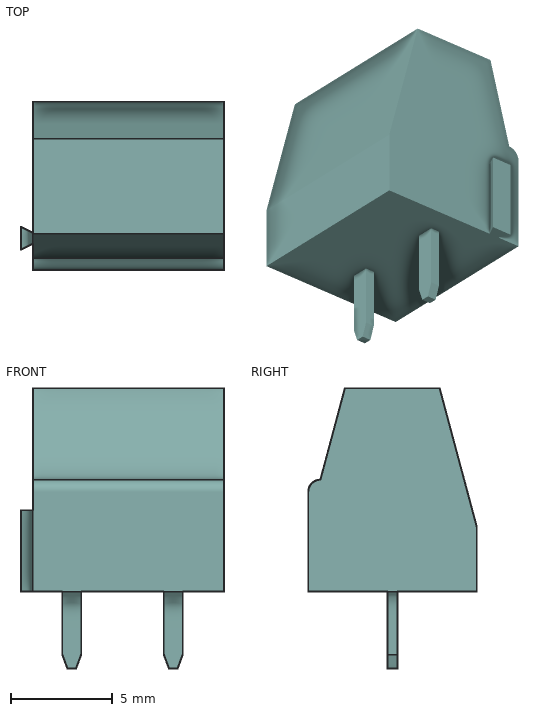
import cadquery as cq
import math

total_width = 10.0
housing_depth = 8.3
total_height = 13.8

key_projection = 0.6
housing_height = 10.0
housing_width = total_width - key_projection
housing_left = -total_width / 2 + key_projection
front_y = -housing_depth / 2
back_y = housing_depth / 2
wall_lean = math.radians(15)
back_wall_height = 3.2
shoulder_height = 5.5
shoulder_radius = 0.6

key_height = 4.0
key_outer_width = 1.13
key_root_width = 0.55
key_y = front_y + 1.57

pin_count = 2
pin_pitch = 5.0
pin_width = 0.94
pin_thickness = 0.5
pin_length = total_height - housing_height
pin_tip_width = 0.43
pin_tip_length = 0.69


def make_dovetail_key():
    """Vertical key that widens outwards from the -X face of the housing."""
    outer_x = housing_left - key_projection
    return (
        cq.Workplane("XY")
        .moveTo(housing_left, key_y - key_root_width / 2)
        .lineTo(housing_left, key_y + key_root_width / 2)
        .lineTo(outer_x, key_y + key_outer_width / 2)
        .lineTo(outer_x, key_y - key_outer_width / 2)
        .close()
        .extrude(key_height)
    )


def make_housing():
    """Side profile with sloping walls and a rounded front shoulder, plus the key."""
    shoulder_y = front_y + shoulder_radius
    top_front_y = shoulder_y + (housing_height - shoulder_height) * math.tan(wall_lean)
    top_back_y = back_y - (housing_height - back_wall_height) * math.tan(wall_lean)
    body = (
        cq.Workplane("YZ", origin=(housing_left, 0, 0))
        .moveTo(front_y, 0)
        .lineTo(back_y, 0)
        .lineTo(back_y, back_wall_height)
        .lineTo(top_back_y, housing_height)
        .lineTo(top_front_y, housing_height)
        .lineTo(shoulder_y, shoulder_height)
        .radiusArc((front_y, shoulder_height - shoulder_radius), -shoulder_radius)
        .close()
        .extrude(housing_width)
    )
    return body.union(make_dovetail_key())


def make_pin(pin_x):
    """Flat pin hanging from the underside, tapered in width at its tip."""
    taper_z = pin_tip_length - pin_length
    return (
        cq.Workplane("XZ", origin=(pin_x, 0, 0))
        .moveTo(-pin_width / 2, 0)
        .lineTo(-pin_width / 2, taper_z)
        .lineTo(-pin_tip_width / 2, -pin_length)
        .lineTo(pin_tip_width / 2, -pin_length)
        .lineTo(pin_width / 2, taper_z)
        .lineTo(pin_width / 2, 0)
        .close()
        .extrude(pin_thickness / 2, both=True)
    )


housing = make_housing()

pins = []
for index in range(pin_count):
    pin_x = (index - (pin_count - 1) / 2) * pin_pitch
    pins.append(make_pin(pin_x).val())

result = cq.Compound.makeCompound([housing.val(), *pins])